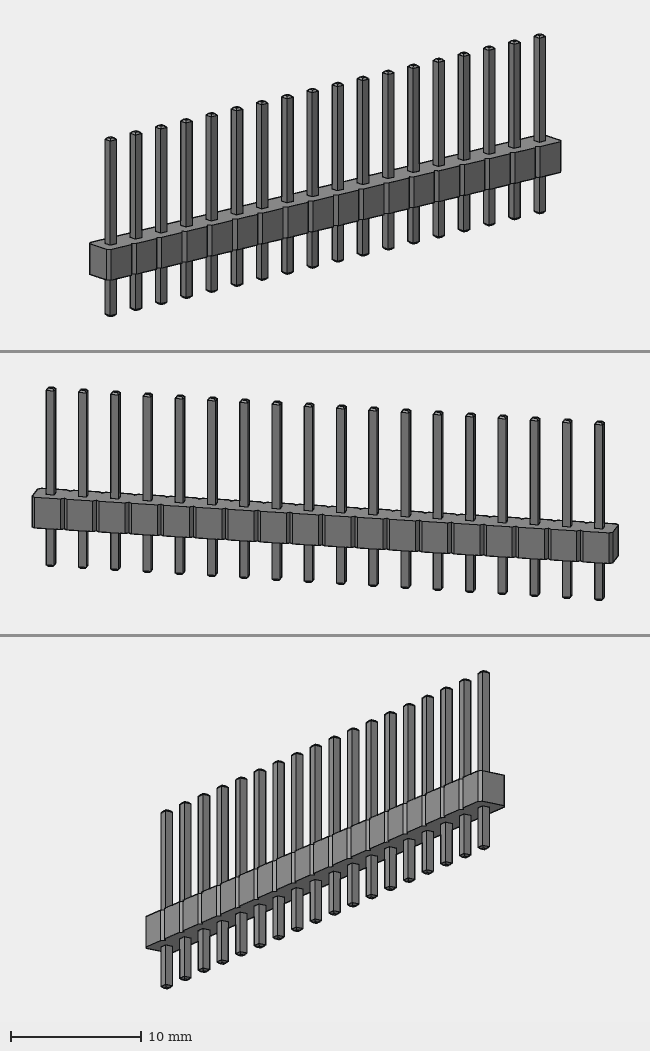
import cadquery as cq

pin_count = 18
row_length = 45.7
pitch = row_length / pin_count

body_width = 2.5
body_height = 2.45
corner_chamfer = 0.25

pin_width = 0.65
pin_height = 14.3
pin_tail = 3.35
tip_chamfer = 0.15

positions = [(0, (i - (pin_count - 1) / 2) * pitch) for i in range(pin_count)]


def make_segment():
    """One block of the strip, with its four upright edges chamfered."""
    return (
        cq.Workplane("XY")
        .box(body_width, pitch, body_height, centered=(True, True, False))
        .edges("|Z")
        .chamfer(corner_chamfer)
    )


def make_pin():
    """One square pin passing through the strip, chamfered around both tips."""
    return (
        cq.Workplane("XY")
        .box(pin_width, pin_width, pin_height, centered=(True, True, False))
        .faces("<Z or >Z")
        .edges()
        .chamfer(tip_chamfer)
        .translate((0, 0, -pin_tail))
    )


contact = make_segment().union(make_pin()).val()

row = cq.Workplane("XY").pushPoints(positions).eachpoint(lambda location: contact.moved(location))
result = row.combine().clean()